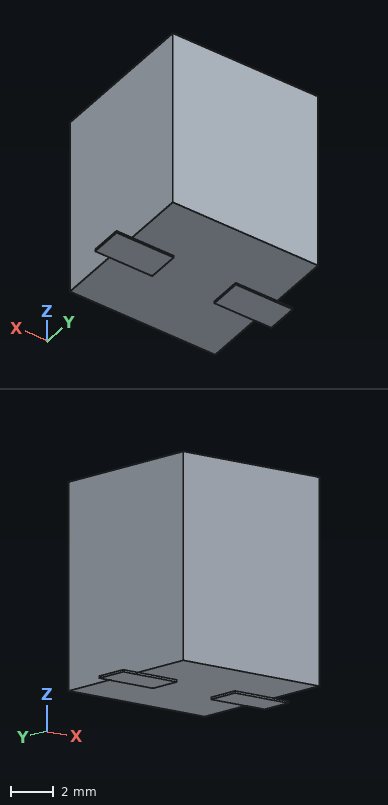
import cadquery as cq

overall_length = 10.07
overall_height = 10.1

housing_side = 8.3

terminal_length = 3.26
terminal_width = 1.73
terminal_thickness = 0.1

housing_height = overall_height - terminal_thickness
terminal_offset = (overall_length - terminal_length) / 2


def make_housing():
    """Block standing on top of the terminals."""
    return (
        cq.Workplane("XY")
        .workplane(offset=terminal_thickness)
        .rect(housing_side, housing_side)
        .extrude(housing_height)
    )


def make_terminal(side):
    """Flat strip at the -X (side = -1) or +X (side = 1) end."""
    return (
        cq.Workplane("XY")
        .center(side * terminal_offset, 0)
        .rect(terminal_length, terminal_width)
        .extrude(terminal_thickness)
    )


housing = make_housing()
terminals = [make_terminal(side) for side in (-1, 1)]

result = cq.Compound.makeCompound(
    [housing.val(), *[terminal.val() for terminal in terminals]]
)